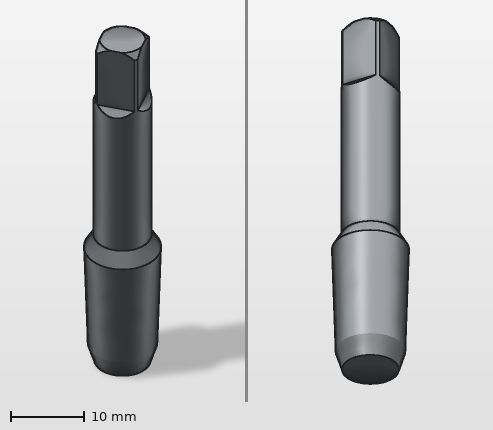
import cadquery as cq
import math

total_length = 54.0

head_length = 19.0
head_diameter = 10.55
thread_taper = 1 / 16
lead_length = 2.9
tip_diameter = 7.75

shank_diameter = 8.0
collar_half_angle = 30.0

square_width = 6.0
square_length = 9.5
shoulder_angle = 45.0
end_chamfer = 0.9

head_radius = head_diameter / 2
tip_radius = tip_diameter / 2
shank_radius = shank_diameter / 2
lead_radius = head_radius - thread_taper / 2 * (head_length - lead_length)
collar_length = (head_radius - shank_radius) / math.tan(math.radians(collar_half_angle))


def make_cutting_head():
    """Tapered thread envelope with a steeper lead-in cone at the tip."""
    return (
        cq.Workplane("XZ")
        .lineTo(tip_radius, 0)
        .lineTo(lead_radius, lead_length)
        .lineTo(head_radius, head_length)
        .lineTo(0, head_length)
        .close()
        .revolve(360, (0, 0), (0, 1))
    )


def make_round_shank():
    """Collar cone and cylindrical shank, chamfered at the drive end."""
    return (
        cq.Workplane("YZ")
        .moveTo(0, head_length)
        .lineTo(head_radius, head_length)
        .lineTo(shank_radius, head_length + collar_length)
        .lineTo(shank_radius, total_length - end_chamfer)
        .lineTo(shank_radius - end_chamfer, total_length)
        .lineTo(0, total_length)
        .close()
        .revolve(360, (0, 0), (0, 1))
    )


def make_flat_cutter():
    """Tool for one drive flat on the +X side, ending in a sloping shoulder."""
    flat_distance = square_width / 2
    cutter_reach = head_radius
    flat_bottom = total_length - square_length
    shoulder_drop = (cutter_reach - flat_distance) * math.tan(math.radians(shoulder_angle))
    return (
        cq.Workplane("XZ")
        .moveTo(flat_distance, total_length)
        .lineTo(flat_distance, flat_bottom)
        .lineTo(cutter_reach, flat_bottom - shoulder_drop)
        .lineTo(cutter_reach, total_length)
        .close()
        .extrude(shank_radius, both=True)
    )


def make_shank():
    """Round shank with four flats forming the square drive."""
    flat_count = 4
    shank = make_round_shank()
    flat_cutter = make_flat_cutter()
    for i in range(flat_count):
        shank = shank.cut(flat_cutter.rotate((0, 0, 0), (0, 0, 1), i * 360 / flat_count))
    return shank


cutting_head = make_cutting_head()
shank = make_shank()

result = cq.Compound.makeCompound([cutting_head.val(), shank.solids().val()])